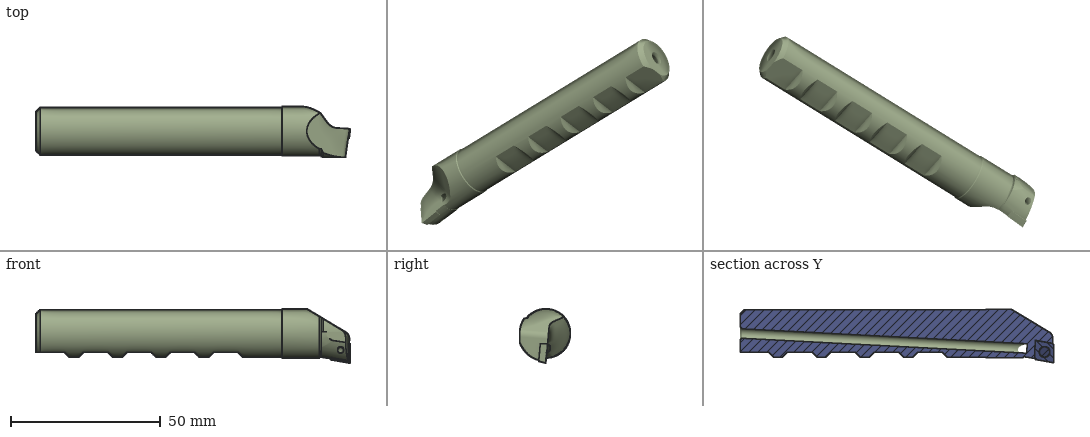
import cadquery as cq
import math

LENGTH = 105.0
WIDTH = 17.0
REACH = 21.0

SHANK_DIA = 16.0
SHANK_CHAMFER = 1.5
FLAT_Z = -6.3
FLAT_END = 9.6
FLAT_PITCH = 14.5
FLAT_LENGTH = 8.1
FLAT_COUNT = 5
FLAT_DEPTH = SHANK_DIA / 2 + FLAT_Z

DUCT_DIA = 3.0
DUCT_SINK_DIA = 4.5
DUCT_DROP = 3.0

COLLAR_DIA = 16.5
COLLAR_START = 82.1
COLLAR_END = 94.7
NECK_X = 95.3
NECK_RADIUS = 8.0
HEAD_START = 96.0
HEAD_TOP_Z = 0.5
FLARE_RADIUS = 8.5
FLARE_ANGLE = 9.0
HEAD_FLAT_Y = COLLAR_DIA / 2 - WIDTH
HEAD_RADIUS = math.hypot(HEAD_FLAT_Y, HEAD_TOP_Z)

UNDERSIDE_RADIUS = 9.3
UNDERSIDE_ANGLE = 8.5
UNDERSIDE_Z = -7.9

SLOPE_START = 90.5
SLOPE_ANGLE = 31.0
SLOPE_FILLET = 2.6
END_X = 104.7
END_CLEARANCE = 8.0

TIP_Y = 0.0
TIP_Z = -10.0
RAKE_TILT = 5.2
INSERT_CIRCLE = 6.4
INSERT_ANGLE = 80.0
INSERT_THICKNESS = 2.4
INSERT_CLEARANCE = 7.0
INSERT_NOSE = 0.2
INSERT_SIDE = INSERT_CIRCLE / math.sin(math.radians(INSERT_ANGLE))
EDGE_RISE = math.radians(90 - INSERT_ANGLE)
INSERT_BACK_X = -INSERT_SIDE * math.cos(EDGE_RISE)
INSERT_BACK_Z = INSERT_SIDE * math.sin(EDGE_RISE)
INSERT_CENTRE_X = LENGTH + INSERT_BACK_X / 2
INSERT_CENTRE_Z = TIP_Z + (INSERT_SIDE + INSERT_BACK_Z) / 2

GULLY_X = 96.7
GULLY_LEAN = 29.0
GULLY_WALL_ANGLE = 47.0
GULLY_FILLET = 5.2

SCREW_HEAD_DIA = 3.9
SCREW_NECK_DIA = 2.8
SCREW_DIA = 2.0
SCREW_SINK_DEPTH = 1.0
SCREW_LENGTH = 6.3


def tan(angle):
    return math.tan(math.radians(angle))


def tilt_to_rake(body):
    """Turn a body built with its rake face at Y = TIP_Y onto the rake plane."""
    pivot = (0, TIP_Y, TIP_Z)
    return body.rotate(pivot, (1, TIP_Y, TIP_Z), -RAKE_TILT)


def turned(profile):
    """Revolve an (x, radius) outline about the bar axis."""
    return cq.Workplane("XY").polyline(profile).close().revolve(360, (0, 0, 0), (1, 0, 0))


def make_shank():
    radius = SHANK_DIA / 2
    collar = COLLAR_DIA / 2
    shank = turned([
        (0, 0),
        (0, radius - SHANK_CHAMFER),
        (SHANK_CHAMFER, radius),
        (COLLAR_START, radius),
        (COLLAR_START + collar - radius, collar),
        (COLLAR_END, collar),
        (COLLAR_END, 0),
    ])
    for index in range(FLAT_COUNT):
        end = FLAT_END + index * FLAT_PITCH
        start = end - FLAT_LENGTH
        if index == 0:
            start = -FLAT_DEPTH
        flat = (
            cq.Workplane("XZ")
            .polyline([
                (start, FLAT_Z),
                (end, FLAT_Z),
                (end + FLAT_DEPTH, FLAT_Z - FLAT_DEPTH),
                (start - FLAT_DEPTH, FLAT_Z - FLAT_DEPTH),
            ])
            .close()
            .extrude(REACH, both=True)
        )
        shank = shank.cut(flat)
    return shank


def make_duct():
    """Duct, countersunk at the back face, that breaks into the chip gully at its +X end."""
    radius = DUCT_DIA / 2
    sink = DUCT_SINK_DIA / 2
    countersink = turned([(0, 0), (0, sink), (sink, 0)])
    duct = (
        cq.Workplane("YZ", origin=(-radius, 0, 0))
        .circle(radius)
        .extrude(HEAD_START + radius)
        .rotate((0, 0, 0), (0, 1, 0), DUCT_DROP)
    )
    return duct.union(countersink)


def make_head():
    neck = [(COLLAR_END, 0), (COLLAR_END, COLLAR_DIA / 2), (NECK_X, NECK_RADIUS)]
    end_radius = FLARE_RADIUS + (LENGTH - NECK_X) * tan(FLARE_ANGLE)
    barrel = turned(neck + [(HEAD_START, HEAD_RADIUS), (LENGTH, HEAD_RADIUS), (LENGTH, 0)])
    flare = turned(neck + [(NECK_X, FLARE_RADIUS), (LENGTH, end_radius), (LENGTH, 0)])
    lower_half = (
        cq.Workplane("XY", origin=(LENGTH, 0, HEAD_TOP_Z))
        .rect(2 * REACH, 2 * REACH)
        .extrude(-REACH)
    )
    flat_side = (
        cq.Workplane("XZ", origin=(LENGTH, HEAD_FLAT_Y, 0))
        .rect(2 * REACH, 2 * REACH)
        .extrude(-2 * REACH)
    )
    upper = barrel.cut(lower_half)
    lower = flare.intersect(lower_half)
    return upper.union(lower).intersect(flat_side)


def make_underside_trim():
    """Cylinder dropping toward +X; the head keeps only what lies inside it."""
    centre_z = UNDERSIDE_Z + UNDERSIDE_RADIUS / math.cos(math.radians(UNDERSIDE_ANGLE))
    centre = (COLLAR_END, 0, centre_z)
    return (
        cq.Workplane("YZ", origin=centre)
        .circle(UNDERSIDE_RADIUS)
        .extrude(REACH, both=True)
        .rotate(centre, (COLLAR_END, 1, centre_z), UNDERSIDE_ANGLE)
    )


def make_end_envelope():
    """Everything below the sloping top and behind the end face, with a rounded edge between them."""
    top = COLLAR_DIA / 2
    drop = REACH * tan(SLOPE_ANGLE)
    skew = REACH * tan(END_CLEARANCE)
    below_slope = (
        cq.Workplane("XZ")
        .polyline([
            (-REACH, -REACH),
            (-REACH, REACH),
            (SLOPE_START - (REACH - top) / tan(SLOPE_ANGLE), REACH),
            (SLOPE_START + REACH, top - drop),
            (SLOPE_START + REACH, -REACH),
        ])
        .close()
        .extrude(REACH, both=True)
    )
    behind_end = (
        cq.Workplane("XY")
        .polyline([(-REACH, -REACH), (END_X - skew, -REACH), (END_X + skew, REACH), (-REACH, REACH)])
        .close()
        .extrude(REACH, both=True)
    )
    edge_z = top - (END_X - SLOPE_START) * tan(SLOPE_ANGLE)
    corner = cq.selectors.NearestToPointSelector((END_X, 0, edge_z))
    return below_slope.intersect(behind_end).edges(corner).fillet(SLOPE_FILLET)


def make_gully():
    """Chip space: a floor on the rake plane and a leaning wall, joined by a fillet."""
    wall_run = REACH / tan(GULLY_WALL_ANGLE)
    foot = (GULLY_X, TIP_Y, 0)
    gully = (
        cq.Workplane("XY", origin=foot)
        .polyline([(0, 0), (REACH, 0), (REACH, REACH), (-wall_run, REACH)])
        .close()
        .extrude(REACH, both=True)
        .edges(cq.selectors.NearestToPointSelector(foot))
        .fillet(GULLY_FILLET)
        .rotate(foot, (GULLY_X, TIP_Y + 1, 0), GULLY_LEAN)
    )
    return tilt_to_rake(gully)


def make_insert_blank():
    blank = (
        cq.Workplane("XZ", origin=(LENGTH, TIP_Y, TIP_Z))
        .polyline([
            (0, 0),
            (0, INSERT_SIDE),
            (INSERT_BACK_X, INSERT_BACK_Z + INSERT_SIDE),
            (INSERT_BACK_X, INSERT_BACK_Z),
        ])
        .close()
        .extrude(INSERT_THICKNESS, taper=INSERT_CLEARANCE)
        .edges(cq.selectors.NearestToPointSelector((LENGTH, TIP_Y - INSERT_THICKNESS / 2, TIP_Z)))
        .fillet(INSERT_NOSE)
    )
    return tilt_to_rake(blank)


def make_screw(length):
    """Countersunk screw, flush with the rake face and square to it."""
    outline = [
        (0, 0),
        (SCREW_HEAD_DIA / 2, 0),
        (SCREW_NECK_DIA / 2, -SCREW_SINK_DEPTH),
        (SCREW_NECK_DIA / 2, -INSERT_THICKNESS),
        (SCREW_DIA / 2, -INSERT_THICKNESS),
        (SCREW_DIA / 2, -length),
        (0, -length),
    ]
    screw = (
        cq.Workplane("XY", origin=(INSERT_CENTRE_X, TIP_Y, INSERT_CENTRE_Z))
        .polyline(outline)
        .close()
        .revolve(360, (0, 0, 0), (0, 1, 0))
    )
    return tilt_to_rake(screw)


def make_bar(insert_blank, screw_hole):
    head = make_head().intersect(make_underside_trim())
    bar = make_shank().union(head).cut(make_duct())
    return bar.intersect(make_end_envelope()).cut(make_gully()).cut(insert_blank).cut(screw_hole)


insert_blank = make_insert_blank()
screw_hole = make_screw(REACH)
bar = make_bar(insert_blank, screw_hole)
insert = insert_blank.cut(screw_hole)
screw = make_screw(SCREW_LENGTH)

result = cq.Compound.makeCompound([bar.val(), insert.val(), screw.val()])